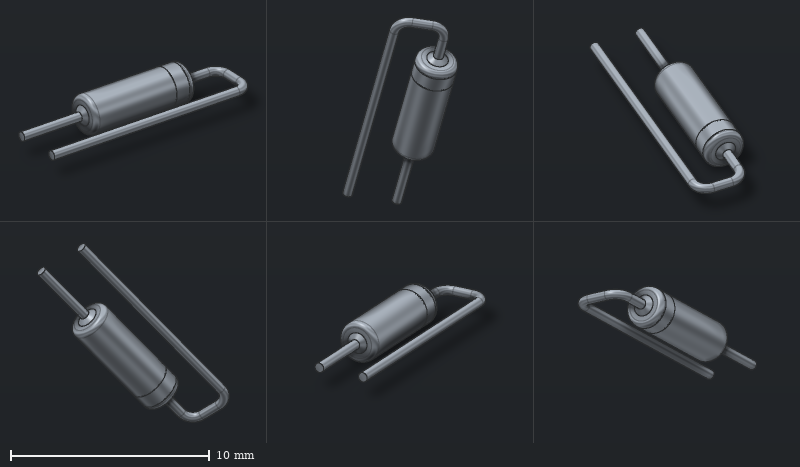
import cadquery as cq

overall_length = 12.62
case_length = 6.3
case_diameter = 2.21
case_edge_radius = 0.28
cone_length = 0.21
cone_base_diameter = 1.11
lead_diameter = 0.52
lead_spacing = 2.54
bend_radius = 0.75
fold_overhang = 2.5
band_width = 0.82
band_offset = 0.37
band_thickness = 0.06

case_radius = case_diameter / 2
lead_radius = lead_diameter / 2
case_end = case_length / 2
cone_tip = case_end + cone_length
fold_top = case_end + fold_overhang
fold_centre = fold_top - lead_radius
bend_start = fold_centre - bend_radius
lead_tip = fold_top - overall_length
band_start = case_end - band_offset - band_width


def cylinder_along_y(radius, start, length):
    """Cylinder on the Y axis running from start towards +Y."""
    return cq.Workplane("XZ", origin=(0, start, 0)).circle(radius).extrude(-length)


def make_band():
    """Polarity band: a thin ring flush with the case surface."""
    outer = cylinder_along_y(case_radius, band_start, band_width)
    inner = cylinder_along_y(case_radius - band_thickness, band_start, band_width)
    return outer.cut(inner).solids()


def make_case(band):
    """Rounded case with a cone at each end and a groove that holds the band."""
    cone_base_radius = cone_base_diameter / 2
    profile = (
        cq.Workplane("XY")
        .moveTo(0, -cone_tip)
        .lineTo(lead_radius, -cone_tip)
        .lineTo(cone_base_radius, -case_end)
        .lineTo(case_radius - case_edge_radius, -case_end)
        .radiusArc((case_radius, -case_end + case_edge_radius), -case_edge_radius)
        .lineTo(case_radius, case_end - case_edge_radius)
        .radiusArc((case_radius - case_edge_radius, case_end), -case_edge_radius)
        .lineTo(cone_base_radius, case_end)
        .lineTo(lead_radius, cone_tip)
        .lineTo(0, cone_tip)
        .close()
    )
    return profile.revolve(360, (0, 0, 0), (0, 1, 0)).cut(band).solids()


def make_straight_lead():
    """Lead from the lower cone tip to the free end."""
    return cylinder_along_y(lead_radius, lead_tip, -cone_tip - lead_tip)


def make_folded_lead():
    """Lead from the upper cone tip, folded over and back down beside the case."""
    path = (
        cq.Workplane("XY")
        .moveTo(0, cone_tip)
        .lineTo(0, bend_start)
        .radiusArc((bend_radius, fold_centre), bend_radius)
        .lineTo(lead_spacing - bend_radius, fold_centre)
        .radiusArc((lead_spacing, bend_start), bend_radius)
        .lineTo(lead_spacing, lead_tip)
    )
    section = cq.Workplane("XZ", origin=(0, cone_tip, 0)).circle(lead_radius)
    return section.sweep(path)


band = make_band()
case = make_case(band)
straight_lead = make_straight_lead()
folded_lead = make_folded_lead()

result = cq.Compound.makeCompound([
    case.val(),
    band.val(),
    straight_lead.val(),
    folded_lead.val(),
])